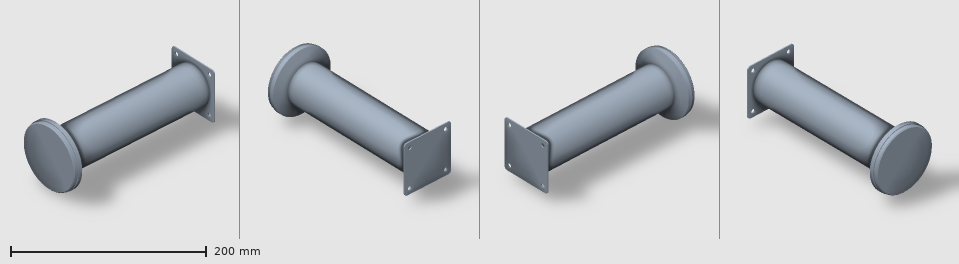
import cadquery as cq

total_length = 200.0

plate_side = 64.5
plate_thickness = 1.5
plate_corner_radius = 3.8
hole_diameter = 5.0
hole_spacing = 50.0

tube_diameter = 50.0

pad_diameter = 78.0
pad_height = 5.0
pad_edge = 1.0
rim_diameter = 80.0
rim_height = 5.0
cone_height = 6.0

foot_end = -total_length / 2
plate_back = total_length / 2


def make_leg():
    """Revolve the foot and the tube as one profile: X is radius, Y is height."""
    pad_radius = pad_diameter / 2
    rim_radius = rim_diameter / 2
    tube_radius = tube_diameter / 2
    pad_top = foot_end + pad_height
    rim_top = pad_top + rim_height
    cone_top = rim_top + cone_height
    return (
        cq.Workplane("XY")
        .moveTo(0, foot_end)
        .lineTo(pad_radius - pad_edge, foot_end)
        .lineTo(pad_radius, foot_end + pad_edge)
        .lineTo(pad_radius, pad_top)
        .lineTo(rim_radius, pad_top)
        .lineTo(rim_radius, rim_top)
        .lineTo(tube_radius, cone_top)
        .lineTo(tube_radius, plate_back - plate_thickness)
        .lineTo(0, plate_back - plate_thickness)
        .close()
        .revolve(360, (0, 0, 0), (0, 1, 0))
    )


def make_plate():
    """Square plate with rounded corners and a screw hole near each corner."""
    return (
        cq.Workplane("XZ", origin=(0, plate_back, 0))
        .rect(plate_side, plate_side)
        .extrude(plate_thickness)
        .edges("|Y")
        .fillet(plate_corner_radius)
        .faces("<Y")
        .workplane(centerOption="CenterOfBoundBox")
        .rect(hole_spacing, hole_spacing, forConstruction=True)
        .vertices()
        .hole(hole_diameter)
    )


result = make_leg().union(make_plate())